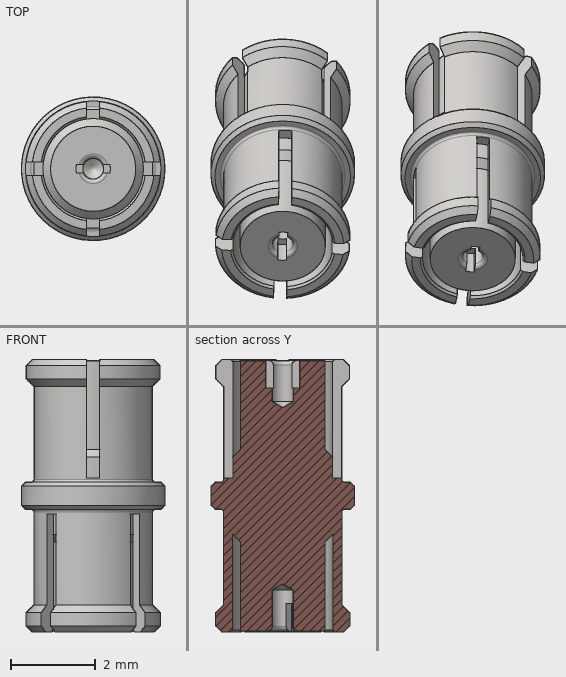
import cadquery as cq
import math

length = 6.45
half_length = length / 2

flange_diameter = 3.4
flange_radius = flange_diameter / 2
flange_half_width = 0.32
flange_chamfer = 0.095

sleeve_radius = 1.405
bore_radius = 1.19
bore_lip_chamfer = 0.05
root_fillet = 0.065
rim_radius = 1.59
rim_chamfer = 0.15
rim_land = 0.31
rim_step = rim_radius - sleeve_radius
finger_count = 4
finger_gap = 0.31
finger_gap_floor = 0.425
finger_pitch = 360 / finger_count
lower_end_turn = finger_pitch / 2

core_radius = 1.005
core_recess = 0.025
core_top = half_length - core_recess
core_cone = bore_radius - core_radius
core_cone_bottom = 0.915

socket_radius = 0.245
socket_mouth_round = 0.1
socket_depth = 0.97
drill_tip_height = 0.14
contact_radius = 0.405
contact_slot_width = 0.205
contact_slot_depth = 0.645


def make_body_half():
    """Revolved upper half: flange, sleeve with rim, annular gap and core."""
    rim_land_top = half_length - rim_chamfer
    rim_land_bottom = rim_land_top - rim_land
    root_bend = root_fillet * (1 - math.sqrt(0.5))
    return (
        cq.Workplane("XZ")
        .moveTo(0, 0)
        .lineTo(flange_radius, 0)
        .lineTo(flange_radius, flange_half_width - flange_chamfer)
        .lineTo(flange_radius - flange_chamfer, flange_half_width)
        .lineTo(sleeve_radius + root_fillet, flange_half_width)
        .threePointArc(
            (sleeve_radius + root_bend, flange_half_width + root_bend),
            (sleeve_radius, flange_half_width + root_fillet),
        )
        .lineTo(sleeve_radius, rim_land_bottom - rim_step)
        .lineTo(rim_radius, rim_land_bottom)
        .lineTo(rim_radius, rim_land_top)
        .lineTo(rim_radius - rim_chamfer, half_length)
        .lineTo(bore_radius + bore_lip_chamfer, half_length)
        .lineTo(bore_radius, half_length - bore_lip_chamfer)
        .lineTo(bore_radius, core_cone_bottom)
        .lineTo(core_radius, core_cone_bottom + core_cone)
        .lineTo(core_radius, core_top)
        .lineTo(0, core_top)
        .close()
        .revolve(360, (0, 0), (0, 1))
    )


def make_finger_gaps():
    """Slots that split the sleeve wall into spring fingers, open at the rim."""
    gap_height = half_length - finger_gap_floor
    floor = cq.Workplane("XY", origin=(0, 0, finger_gap_floor))
    bar = floor.rect(2 * flange_radius, finger_gap).extrude(gap_height)
    gaps = bar
    for index in range(1, finger_count // 2):
        gaps = gaps.union(bar.rotate((0, 0, 0), (0, 0, 1), index * finger_pitch))
    inside = floor.circle(bore_radius).extrude(gap_height)
    return gaps.cut(inside)


def make_socket():
    """Round-mouthed blind bore with a drill-point bottom."""
    bore_bottom = core_top - socket_depth
    mouth_bend = socket_mouth_round * (1 - math.sqrt(0.5))
    return (
        cq.Workplane("XZ")
        .moveTo(0, core_top)
        .lineTo(socket_radius + socket_mouth_round, core_top)
        .threePointArc(
            (socket_radius + mouth_bend, core_top - mouth_bend),
            (socket_radius, core_top - socket_mouth_round),
        )
        .lineTo(socket_radius, bore_bottom)
        .lineTo(0, bore_bottom - drill_tip_height)
        .close()
        .revolve(360, (0, 0), (0, 1))
    )


def make_contact_slot():
    """Slot across the socket, ending at the round outside of the contact."""
    floor = cq.Workplane("XY", origin=(0, 0, core_top - contact_slot_depth))
    slot = floor.rect(2 * contact_radius, contact_slot_width).extrude(contact_slot_depth)
    return slot.intersect(floor.circle(contact_radius).extrude(contact_slot_depth))


def make_end_cutter():
    """Everything cut from the upper end: finger gaps, socket and contact slot."""
    return make_finger_gaps().union(make_socket()).union(make_contact_slot())


body_half = make_body_half()
body = body_half.union(body_half.rotate((0, 0, 0), (1, 0, 0), 180))

upper_cutter = make_end_cutter()
lower_cutter = upper_cutter.mirror("XY").rotate((0, 0, 0), (0, 0, 1), lower_end_turn)
result = body.cut(upper_cutter).cut(lower_cutter)